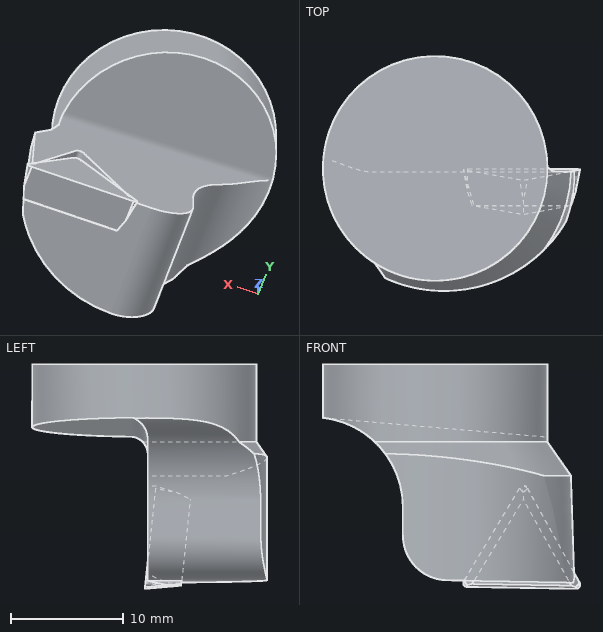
import cadquery as cq
import math

disc_diameter = 20.0
disc_radius = disc_diameter / 2
disc_height = 6.92
shoulder_z = -9.92
shoulder_radius = 12.1
relief_bottom_radius = 12.41
relief_bottom_y = -0.53
part_height = 20.0
part_depth = 20.9

wall_radius = 12.6
wall_lowest_y = disc_radius - part_depth
wall_center_x = 0.8

shank_left_x = -2.89
neck_radius = 7.95
neck_tangent_z = -12.69
toe_radius = 4.03
bottom_z_at_axis = -19.21
bottom_tilt = 1.0

seat_y = -0.3
underside_z = -5.6
underside_tilt = 4.9
seat_fillet = 1.53

insert_side = 11.0
insert_corner_radius = 0.4
insert_thickness = 3.18
insert_clearance = 11.0
insert_rake = 6.0
insert_roll = bottom_tilt
insert_tip_x = 12.9
cutting_edge_y = -0.05

tool_size = 34.35


def make_blank():
    """Disc, conical shoulder and flared side, trimmed by the off-centre wall."""
    turned = (
        cq.Workplane("XZ")
        .polyline([
            (0, 0),
            (disc_radius, 0),
            (disc_radius, -disc_height),
            (shoulder_radius, shoulder_z),
            (0, shoulder_z),
        ])
        .close()
        .revolve(360, (0, 0), (0, 1))
    )
    flare = (
        cq.Workplane("XY", origin=(0, 0, shoulder_z))
        .circle(shoulder_radius)
        .workplane(offset=-part_height - shoulder_z)
        .center(0, relief_bottom_y)
        .circle(relief_bottom_radius)
        .loft(ruled=True)
    )
    wall = (
        cq.Workplane("XY")
        .center(wall_center_x, wall_lowest_y + wall_radius)
        .circle(wall_radius)
        .extrude(-part_height)
    )
    return turned.union(flare).intersect(wall)


def make_neck_cutter():
    """Region left of the shank, under the concave neck arc."""
    center_x = shank_left_x - neck_radius
    top_z = neck_tangent_z + neck_radius
    diagonal = neck_radius * math.sqrt(0.5)
    return (
        cq.Workplane("XZ")
        .moveTo(center_x, top_z)
        .threePointArc(
            (center_x + diagonal, neck_tangent_z + diagonal),
            (shank_left_x, neck_tangent_z),
        )
        .lineTo(shank_left_x, -tool_size)
        .lineTo(-tool_size, -tool_size)
        .lineTo(-tool_size, top_z)
        .close()
        .extrude(tool_size, both=True)
    )


def make_bottom_cutter():
    """Everything below the slightly tilted bottom face."""
    return (
        cq.Workplane("XY")
        .box(tool_size, tool_size, tool_size, centered=(True, True, False))
        .translate((0, 0, bottom_z_at_axis - tool_size))
        .rotate((0, 0, bottom_z_at_axis), (0, 1, bottom_z_at_axis), bottom_tilt)
    )


def make_back_cutter():
    """Space behind the seat face and below the tilted disc underside."""
    return (
        cq.Workplane("XY")
        .box(tool_size, tool_size, tool_size, centered=(True, False, False))
        .edges("|X and >Z and <Y")
        .fillet(seat_fillet)
        .translate((0, seat_y, underside_z - tool_size))
        .rotate((0, 0, underside_z), (0, 1, underside_z), underside_tilt)
    )


def insert_outline():
    """Upright triangle with rounded corners, its right one at the cutting tip."""
    corner_loss = insert_corner_radius * (math.sqrt(3) - 1)
    right_x = insert_tip_x + corner_loss
    left_x = right_x - insert_side
    apex_z = insert_side * math.sqrt(3) / 2 - part_height
    corners = [
        (left_x, -part_height),
        (right_x, -part_height),
        ((left_x + right_x) / 2, apex_z),
    ]
    outline = (
        cq.Sketch()
        .polygon(corners + corners[:1])
        .vertices()
        .fillet(insert_corner_radius)
    )
    return cq.Workplane("XZ").placeSketch(outline)


def place_insert(shape):
    """Lean the face back, dip the edge toward the tip and move it into the seat."""
    tip_x = insert_tip_x - insert_corner_radius
    return (
        shape
        .rotate((0, 0, -part_height), (1, 0, -part_height), insert_rake)
        .rotate((tip_x, 0, -part_height), (tip_x, 1, -part_height), insert_roll)
        .translate((0, cutting_edge_y, 0))
    )


def make_insert():
    """Tapered triangular insert; its conical corners narrow to sharp edges."""
    return place_insert(insert_outline().extrude(insert_thickness, taper=insert_clearance))


def make_pocket_cutter(insert):
    """Insert shape plus the open space in front of its face."""
    opening = place_insert(insert_outline().extrude(-tool_size))
    return insert.union(opening)


insert = make_insert()

holder = make_blank().cut(make_neck_cutter()).cut(make_bottom_cutter())
toe_edge = holder.edges(
    cq.selectors.NearestToPointSelector((shank_left_x, 0, bottom_z_at_axis))
)
holder = toe_edge.fillet(toe_radius).cut(make_back_cutter())
holder = holder.cut(make_pocket_cutter(insert))

result = cq.Compound.makeCompound([holder.solids().val(), insert.solids().val()])